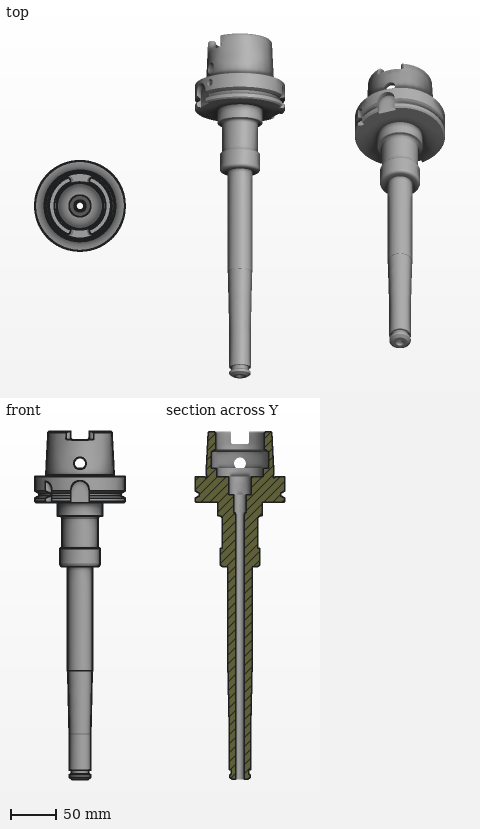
import cadquery as cq
import math


TAPER_LENGTH = 50.0
TAPER_BASE_D = 76.0
TAPER_RATIO = 10.0
TAPER_TOP_D = TAPER_BASE_D - TAPER_LENGTH / TAPER_RATIO
RIM_CHAMFER = 1.5
RELIEF_D = 74.0
RELIEF_HEIGHT = 2.0
FACE_GROOVE_D = 79.0
FACE_GROOVE_DEPTH = 1.5

BORE_D = 53.0
BORE_DEPTH = 20.0
BORE_CHAMFER = 2.0
CLAMP_D = 63.0
CLAMP_CONE_ANGLE = 30.0
LEDGE_Z = 9.3
LOWER_BORE_D = 50.5
FLOOR_Z = 0.0

COOLANT_THREAD_D = 24.0
COOLANT_THREAD_DEPTH = 20.0
COOLANT_STEP_D = 13.0
COOLANT_STEP_DEPTH = 40.0
COOLANT_LEAD_D = 10.0
COOLANT_LEAD_DEPTH = 42.0
COOLANT_D = 9.0

DRIVE_SLOT_WIDTH = 20.0
FRONT_SLOT_DEPTH = 9.5
BACK_SLOT_DEPTH = 14.0
DRIVE_SLOT_ROUND = 6.0
DRIVE_SLOT_REACH = 32.3
DRIVE_SLOT_FLOOR_FILLET = 2.0

CROSS_HOLE_D = 13.0
CROSS_HOLE_Z = 14.5

FLANGE_D = 100.0
FLANGE_HEIGHT = 29.0
FLANGE_TOP_CHAMFER = 0.5
FLANGE_BOTTOM_CHAMFER = 1.5
GROOVE_Z = -20.0
GROOVE_ROOT_D = 91.0
GROOVE_ROOT_WIDTH = 2.8
GROOVE_HALF_ANGLE = 30.0

KEYWAY_WIDTH = 20.0
KEYWAY_TOP_Z = -4.7
KEYWAY_FLOOR = 44.0
CHIP_HOLE_D = 8.0
CHIP_HOLE_DEPTH = 4.5
CHIP_HOLE_Z = -7.7
CHIP_HOLE_ANGLE = 109.5
NOTCH_R = 9.0
NOTCH_CENTRE_X = -40.4
NOTCH_TOP_Z = -5.0
NOTCH_FLOOR_Y = -32.0

HUB_D = 50.0
HUB_END_Z = -44.0
HUB_CHAMFER = 0.5
NECK_D = 40.0
NECK_FILLET = 2.5
COLLAR_D = 44.6
COLLAR_TOP_Z = -79.0
COLLAR_END_Z = -100.0
COLLAR_TOP_CHAMFER = 1.0
COLLAR_END_ROUND = 3.5
SHAFT_D = 28.0
SHAFT_END_Z = -215.0
CONE_TOP_D = 27.2
CONE_END_Z = -285.0
TUBE_D = 24.0
TUBE_END_Z = -325.2

TIP_NECK_D = 19.5
TIP_RING_D = 23.8
TIP_RING_TOP_Z = -329.0
TIP_RING_CHAMFER = 1.5
TIP_RING_END_Z = -333.0
TIP_END_Z = -335.5
TIP_END_D = 17.0


def revolve_rz(points):
    """Solid of revolution about Z from (radius, height) points."""
    return cq.Workplane("XZ").polyline(points).close().revolve(360, (0, 0), (0, 1))


def cylinder(diameter, bottom_z, top_z):
    return cq.Workplane("XY").workplane(offset=bottom_z).circle(diameter / 2).extrude(top_z - bottom_z)


def taper():
    base_r = TAPER_BASE_D / 2
    relief_top_r = base_r - RELIEF_HEIGHT / TAPER_RATIO / 2
    top_r = TAPER_TOP_D / 2
    return revolve_rz([
        (0, -FACE_GROOVE_DEPTH),
        (RELIEF_D / 2, -FACE_GROOVE_DEPTH),
        (RELIEF_D / 2, RELIEF_HEIGHT / 2),
        (relief_top_r, RELIEF_HEIGHT),
        (top_r, TAPER_LENGTH - RIM_CHAMFER),
        (top_r - RIM_CHAMFER, TAPER_LENGTH),
        (0, TAPER_LENGTH),
    ])


def flange():
    outer_r = FLANGE_D / 2
    root_r = GROOVE_ROOT_D / 2
    root_half = GROOVE_ROOT_WIDTH / 2
    mouth_half = root_half + (outer_r - root_r) * math.tan(math.radians(GROOVE_HALF_ANGLE))
    return revolve_rz([
        (0, -FACE_GROOVE_DEPTH),
        (RELIEF_D / 2, -FACE_GROOVE_DEPTH),
        (FACE_GROOVE_D / 2, 0),
        (outer_r - FLANGE_TOP_CHAMFER, 0),
        (outer_r, -FLANGE_TOP_CHAMFER),
        (outer_r, GROOVE_Z + mouth_half),
        (root_r, GROOVE_Z + root_half),
        (root_r, GROOVE_Z - root_half),
        (outer_r, GROOVE_Z - mouth_half),
        (outer_r, FLANGE_BOTTOM_CHAMFER - FLANGE_HEIGHT),
        (outer_r - FLANGE_BOTTOM_CHAMFER, -FLANGE_HEIGHT),
        (0, -FLANGE_HEIGHT),
    ])


def hub_and_neck():
    """Hub below the flange, then the neck, which meets the hub in a concave fillet."""
    hub_r = HUB_D / 2
    neck_r = NECK_D / 2
    fillet_shift = NECK_FILLET * (1 - math.sqrt(0.5))
    return (
        cq.Workplane("XZ")
        .moveTo(0, -FLANGE_HEIGHT)
        .lineTo(hub_r, -FLANGE_HEIGHT)
        .lineTo(hub_r, HUB_END_Z + HUB_CHAMFER)
        .lineTo(hub_r - HUB_CHAMFER, HUB_END_Z)
        .lineTo(neck_r + NECK_FILLET, HUB_END_Z)
        .threePointArc(
            (neck_r + fillet_shift, HUB_END_Z - fillet_shift),
            (neck_r, HUB_END_Z - NECK_FILLET),
        )
        .lineTo(neck_r, COLLAR_TOP_Z)
        .lineTo(0, COLLAR_TOP_Z)
        .close()
        .revolve(360, (0, 0), (0, 1))
    )


def collar():
    body = cylinder(COLLAR_D, COLLAR_END_Z, COLLAR_TOP_Z)
    body = body.faces(">Z").edges().chamfer(COLLAR_TOP_CHAMFER)
    return body.faces("<Z").edges().fillet(COLLAR_END_ROUND)


def shaft():
    return revolve_rz([
        (0, COLLAR_END_Z),
        (SHAFT_D / 2, COLLAR_END_Z),
        (SHAFT_D / 2, SHAFT_END_Z),
        (CONE_TOP_D / 2, SHAFT_END_Z),
        (TUBE_D / 2, CONE_END_Z),
        (TUBE_D / 2, TUBE_END_Z),
        (TIP_NECK_D / 2, TUBE_END_Z),
        (TIP_NECK_D / 2, TIP_RING_TOP_Z),
        (TIP_RING_D / 2, TIP_RING_TOP_Z - TIP_RING_CHAMFER),
        (TIP_RING_D / 2, TIP_RING_END_Z),
        (TIP_END_D / 2, TIP_END_Z),
        (0, TIP_END_Z),
    ])


def clamping_bore():
    bore_r = BORE_D / 2
    clamp_r = CLAMP_D / 2
    cone_top_z = TAPER_LENGTH - BORE_DEPTH
    cone_height = (clamp_r - bore_r) * math.tan(math.radians(CLAMP_CONE_ANGLE))
    return revolve_rz([
        (0, FLOOR_Z),
        (LOWER_BORE_D / 2, FLOOR_Z),
        (LOWER_BORE_D / 2, LEDGE_Z),
        (clamp_r, LEDGE_Z),
        (clamp_r, cone_top_z - cone_height),
        (bore_r, cone_top_z),
        (bore_r, TAPER_LENGTH - BORE_CHAMFER),
        (bore_r + BORE_CHAMFER, TAPER_LENGTH),
        (0, TAPER_LENGTH),
    ])


def coolant_passage():
    steps = [
        (COOLANT_THREAD_D, FLOOR_Z - COOLANT_THREAD_DEPTH),
        (COOLANT_STEP_D, FLOOR_Z - COOLANT_STEP_DEPTH),
        (COOLANT_LEAD_D, FLOOR_Z - COOLANT_LEAD_DEPTH),
    ]
    passage = cylinder(COOLANT_D, TIP_END_Z, FLOOR_Z)
    for diameter, bottom_z in steps:
        passage = passage.union(cylinder(diameter, bottom_z, FLOOR_Z))
    return passage


def drive_slot(side, depth):
    """Rim slot on the -Y side (side = -1) or the +Y side (side = 1); its walls flare outwards in an arc."""
    half = DRIVE_SLOT_WIDTH / 2
    flare_half = half + DRIVE_SLOT_ROUND
    flare_y = DRIVE_SLOT_REACH
    start_y = flare_y - DRIVE_SLOT_ROUND
    arc_shift = DRIVE_SLOT_ROUND * (1 - math.sqrt(0.5))
    arc_y = start_y + DRIVE_SLOT_ROUND * math.sqrt(0.5)
    outer_y = TAPER_BASE_D / 2
    slot = (
        cq.Workplane("XY").workplane(offset=TAPER_LENGTH - depth)
        .moveTo(-half, 0)
        .lineTo(-half, side * start_y)
        .threePointArc((-half - arc_shift, side * arc_y), (-flare_half, side * flare_y))
        .lineTo(-flare_half, side * outer_y)
        .lineTo(flare_half, side * outer_y)
        .lineTo(flare_half, side * flare_y)
        .threePointArc((half + arc_shift, side * arc_y), (half, side * start_y))
        .lineTo(half, 0)
        .close()
        .extrude(depth)
    )
    return slot.faces("<Z").edges().fillet(DRIVE_SLOT_FLOOR_FILLET)


def cross_hole():
    """Hole along Y through both taper walls; it leaves the bore ledge uncut."""
    hole = (
        cq.Workplane("XZ").center(0, CROSS_HOLE_Z).circle(CROSS_HOLE_D / 2)
        .extrude(TAPER_BASE_D / 2, both=True)
    )
    return hole.cut(cylinder(CLAMP_D, FLOOR_Z, TAPER_LENGTH))


def keyway():
    """Round-topped keyway on the -Y side, open at the bottom of the flange."""
    half = KEYWAY_WIDTH / 2
    shoulder_z = KEYWAY_TOP_Z - half
    return (
        cq.Workplane("XZ", origin=(0, -KEYWAY_FLOOR, 0))
        .moveTo(-half, -FLANGE_HEIGHT)
        .lineTo(-half, shoulder_z)
        .threePointArc((0, KEYWAY_TOP_Z), (half, shoulder_z))
        .lineTo(half, -FLANGE_HEIGHT)
        .close()
        .extrude(FLANGE_D / 2 - KEYWAY_FLOOR)
    )


def orientation_notch():
    """Corner notch with a flat floor facing -Y and a rounded top."""
    centre_z = NOTCH_TOP_Z - NOTCH_R
    diagonal = NOTCH_R * math.sqrt(0.5)
    outer_r = FLANGE_D / 2
    return (
        cq.Workplane("XZ", origin=(0, NOTCH_FLOOR_Y, 0))
        .moveTo(-outer_r, NOTCH_TOP_Z)
        .lineTo(NOTCH_CENTRE_X, NOTCH_TOP_Z)
        .threePointArc(
            (NOTCH_CENTRE_X + diagonal, centre_z + diagonal),
            (NOTCH_CENTRE_X + NOTCH_R, centre_z),
        )
        .lineTo(NOTCH_CENTRE_X + NOTCH_R, -FLANGE_HEIGHT)
        .lineTo(-outer_r, -FLANGE_HEIGHT)
        .close()
        .extrude(outer_r + NOTCH_FLOOR_Y)
    )


def chip_hole():
    """Blind radial hole in the flange rim, CHIP_HOLE_ANGLE degrees round from +X."""
    hole = (
        cq.Workplane("YZ", origin=(FLANGE_D / 2 - CHIP_HOLE_DEPTH, 0, CHIP_HOLE_Z))
        .circle(CHIP_HOLE_D / 2)
        .extrude(CHIP_HOLE_DEPTH)
    )
    return hole.rotate((0, 0, 0), (0, 0, 1), CHIP_HOLE_ANGLE)


holder = taper().union(flange()).union(hub_and_neck()).union(collar()).union(shaft())
holder = holder.cut(clamping_bore()).cut(coolant_passage()).cut(cross_hole())
holder = holder.cut(drive_slot(-1, FRONT_SLOT_DEPTH)).cut(drive_slot(1, BACK_SLOT_DEPTH))
holder = holder.cut(keyway()).cut(keyway().rotate((0, 0, 0), (0, 0, 1), 180))
holder = holder.cut(orientation_notch()).cut(chip_hole())
result = holder